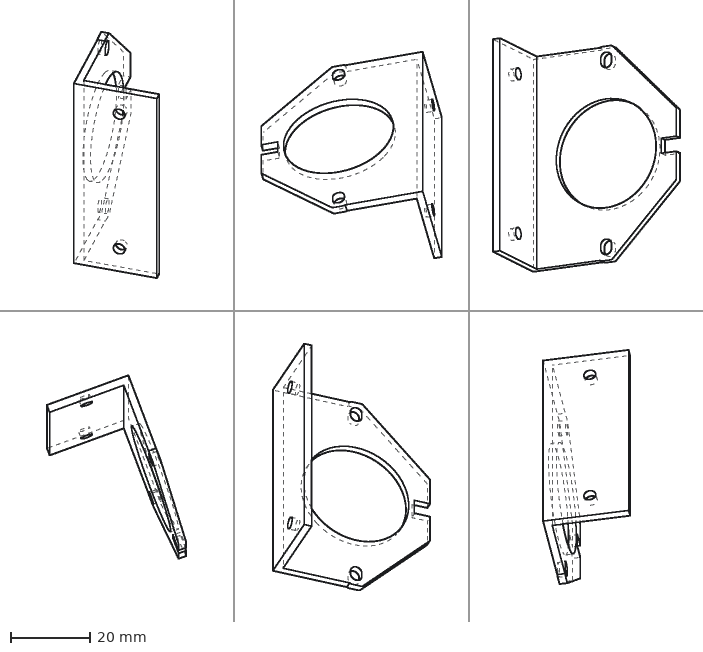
import cadquery as cq
import math

height = 56.1
flange_length = 22.0
plate_length = 41.85
thickness = 2.0
ear_step = 0.2

nose_width = 18.75
slant_start = 23.45
corner_radius = 1.0
pad_inner = 20.7

bore_diameter = 28.45
bore_y = 21.8
slot_width = 3.05
slot_length = 4.0
slot_z = 24.45
notch_width = 3.9
notch_depth = 4.25

hole_diameter = 3.05
hole_x = 12.0
hole_spacing = 41.75

half_height = height / 2
edge_z = half_height - ear_step


def ear_arc_point(drop):
    """Point on the inner pad rounding, a given drop below the pad face."""
    run = math.sqrt(corner_radius**2 - (corner_radius - drop) ** 2)
    return pad_inner - run, half_height - drop


def mirrored(point):
    return point[0], -point[1]


def make_plate():
    step_foot = ear_arc_point(ear_step)
    step_middle = ear_arc_point(ear_step / 4)
    pad_start = (pad_inner, half_height)
    pad_corner = (slant_start, half_height)
    nose_corner = (plate_length, nose_width / 2)

    plate = (
        cq.Workplane("YZ")
        .moveTo(0, -edge_z)
        .lineTo(0, edge_z)
        .lineTo(*step_foot)
        .threePointArc(step_middle, pad_start)
        .lineTo(*pad_corner)
        .lineTo(*nose_corner)
        .lineTo(*mirrored(nose_corner))
        .lineTo(*mirrored(pad_corner))
        .lineTo(*mirrored(pad_start))
        .threePointArc(mirrored(step_middle), mirrored(step_foot))
        .close()
        .extrude(thickness)
    )

    for outline_corner in (pad_corner, nose_corner):
        for y, z in (outline_corner, mirrored(outline_corner)):
            corner = cq.selectors.NearestToPointSelector((thickness / 2, y, z))
            plate = plate.edges("|X").edges(corner).fillet(corner_radius)
    return plate


def make_flange():
    return cq.Workplane("XY").box(
        flange_length, thickness, 2 * edge_z, centered=(False, False, True)
    )


def plate_openings():
    bore = cq.Workplane("YZ").center(bore_y, 0).circle(bore_diameter / 2).extrude(thickness)
    slots = (
        cq.Workplane("YZ")
        .pushPoints([(bore_y, -slot_z), (bore_y, slot_z)])
        .slot2D(slot_length, slot_width, 90)
        .extrude(thickness)
    )
    notch = (
        cq.Workplane("YZ")
        .center(plate_length - notch_depth / 2, 0)
        .rect(notch_depth, notch_width)
        .extrude(thickness)
    )
    return bore.union(slots).union(notch)


def flange_holes():
    return (
        cq.Workplane("XZ")
        .pushPoints([(hole_x, -hole_spacing / 2), (hole_x, hole_spacing / 2)])
        .circle(hole_diameter / 2)
        .extrude(-thickness)
    )


bracket = make_plate().union(make_flange())
result = bracket.cut(plate_openings()).cut(flange_holes())